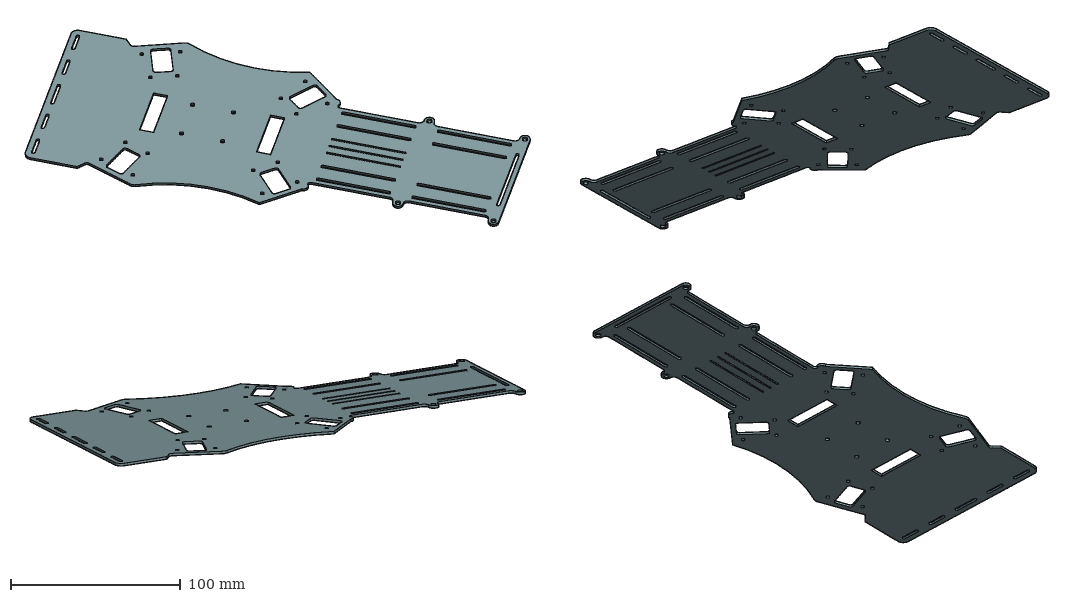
import cadquery as cq
import math

overall_length = 284.5
thickness = 1.62

front_half_width = 55.5
front_corner_radius = 4.3
step_top_x = 32.7
step_root = (37.3, 50.5)
step_root_radius = 2.3

front_shoulder = (68.3, 62.0)
front_shoulder_radius = 4.3
waist = (112.0, 51.8)
rear_shoulder = (144.2, 57.0)

lobe_centre = (165.5, 36.0)
lobe_radius = 2.8
lobe_start_angle = 90
lobe_end_angle = -45
notch_radius = 1.7

neck_half_width = 32.5
lug_radius = 3.0
lug_hole_diameter = 3.0
lug_y = 35.5
lug_root_radius = 2.8
middle_lug_x = 223.0
rear_lug_x = overall_length - lug_radius

slot_width = 2.0
front_slot_x = 4.5
front_middle_slot_length = 16.8
front_side_slot_length = 12.2
front_side_slot_rows = (23.5, 45.2)
neck_slot_length = 45.2
neck_slot_columns = (194.0, 252.5)
neck_slot_rows = (17.5, 28.7)
thin_slot_width = 1.0
thin_slot_pitch = 6.0
rear_slot_x = 280.5

window_size = (8.5, 32.0)
window_columns = (64.3, 135.7)
centre_hole_diameter = 2.5
centre_hole_spacing = 25.0
centre_pattern_x = 97.3

mount_hole_diameter = 2.05
mount_inner_spacing = 16.0
mount_outer_spacing = 22.8
mount_row_distance = 20.0
pocket_size = (12.0, 19.5)
pocket_offset = 13.7
pocket_corner_radius = 1.7
front_mount_place = (62.3, 31.0)
front_mount_angle = 20
rear_mount_place = (139.7, 26.2)
rear_mount_angle = -40


def polar_point(centre, radius, angle):
    turn = math.radians(angle)
    return (centre[0] + radius * math.cos(turn), centre[1] + radius * math.sin(turn))


def mirrored(solid):
    """The solid together with its mirror image across Y = 0."""
    return solid.union(solid.mirror("XZ"))


def round_corner(solid, point, radius):
    """Round the upright edge nearest to a point of the outline."""
    x, y = point
    edge = cq.NearestToPointSelector((x, y, thickness / 2))
    return solid.edges("|Z").edges(edge).fillet(radius)


def half_plate():
    """Outline of the +Y half, without the lugs."""
    lobe_start = polar_point(lobe_centre, lobe_radius, lobe_start_angle)
    lobe_tip = polar_point(lobe_centre, lobe_radius, (lobe_start_angle + lobe_end_angle) / 2)
    lobe_end = polar_point(lobe_centre, lobe_radius, lobe_end_angle)
    notch_centre = (lobe_end[0] + notch_radius, neck_half_width + notch_radius)
    notch_middle = polar_point(notch_centre, notch_radius, 225)

    plate = (
        cq.Workplane("XY")
        .lineTo(0, front_half_width)
        .lineTo(step_top_x, front_half_width)
        .lineTo(*step_root)
        .lineTo(*front_shoulder)
        .threePointArc(waist, rear_shoulder)
        .lineTo(*lobe_start)
        .threePointArc(lobe_tip, lobe_end)
        .threePointArc(notch_middle, (notch_centre[0], neck_half_width))
        .lineTo(overall_length, neck_half_width)
        .lineTo(overall_length, 0)
        .close()
        .extrude(thickness)
    )
    plate = round_corner(plate, (0, front_half_width), front_corner_radius)
    plate = round_corner(plate, step_root, step_root_radius)
    return round_corner(plate, front_shoulder, front_shoulder_radius)


def add_lug(plate, x, root_sides):
    """Round-ended tab with a screw hole; root_sides lists the sides blended into the neck."""
    tab = (
        cq.Workplane("XY")
        .moveTo(x - lug_radius, 0)
        .lineTo(x - lug_radius, lug_y)
        .threePointArc((x, lug_y + lug_radius), (x + lug_radius, lug_y))
        .lineTo(x + lug_radius, 0)
        .close()
        .extrude(thickness)
    )
    plate = plate.union(tab)
    for side in root_sides:
        plate = round_corner(plate, (x + side * lug_radius, neck_half_width), lug_root_radius)
    hole = cq.Workplane("XY").center(x, lug_y).circle(lug_hole_diameter / 2).extrude(thickness)
    return plate.cut(hole)


def slots(places, length, width=slot_width, angle=0):
    return cq.Workplane("XY").pushPoints(places).slot2D(length, width, angle).extrude(thickness)


def arm_mount(place, angle):
    pocket = (
        cq.Workplane("XY")
        .center(0, pocket_offset)
        .rect(*pocket_size)
        .extrude(thickness)
        .edges("|Z")
        .fillet(pocket_corner_radius)
    )
    hole_places = []
    for side in (-1, 1):
        hole_places.append((side * mount_inner_spacing / 2, 0))
        hole_places.append((side * mount_outer_spacing / 2, mount_row_distance))
    holes = cq.Workplane("XY").pushPoints(hole_places).circle(mount_hole_diameter / 2).extrude(thickness)
    mount = pocket.union(holes).rotate((0, 0, 0), (0, 0, 1), angle)
    return mount.translate((place[0], place[1], 0))


half = half_plate()
half = add_lug(half, middle_lug_x, (-1, 1))
half = add_lug(half, rear_lug_x, (-1,))
result = mirrored(half)

result = result.cut(mirrored(arm_mount(front_mount_place, front_mount_angle)))
result = result.cut(mirrored(arm_mount(rear_mount_place, rear_mount_angle)))

front_side_places = [(front_slot_x, y) for y in front_side_slot_rows]
result = result.cut(mirrored(slots(front_side_places, front_side_slot_length, angle=90)))
result = result.cut(slots([(front_slot_x, 0)], front_middle_slot_length, angle=90))
result = result.cut(slots([(rear_slot_x, 0)], neck_slot_length, angle=90))

neck_slot_places = [(x, y) for x in neck_slot_columns for y in neck_slot_rows]
result = result.cut(mirrored(slots(neck_slot_places, neck_slot_length)))
thin_slot_places = [(neck_slot_columns[0], row * thin_slot_pitch) for row in (-1, 0, 1)]
result = result.cut(slots(thin_slot_places, neck_slot_length, thin_slot_width))

window_places = [(x, 0) for x in window_columns]
windows = cq.Workplane("XY").pushPoints(window_places).rect(*window_size).extrude(thickness)
centre_holes = (
    cq.Workplane("XY")
    .center(centre_pattern_x, 0)
    .rarray(centre_hole_spacing, centre_hole_spacing, 2, 2)
    .circle(centre_hole_diameter / 2)
    .extrude(thickness)
)
result = result.cut(windows).cut(centre_holes)